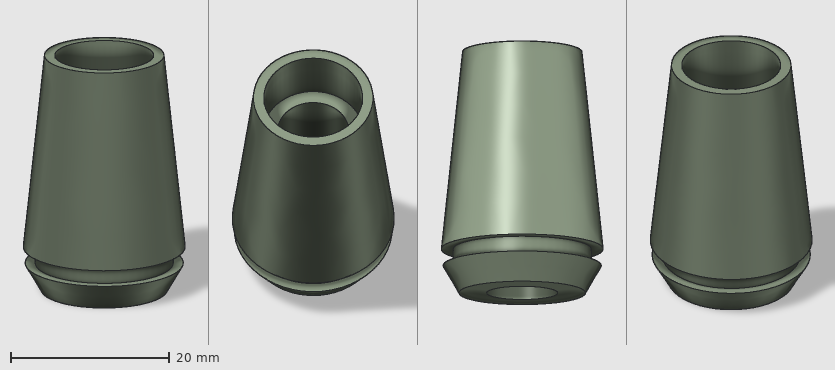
import cadquery as cq

height = 31.0
body_diameter = 20.5
top_diameter = 15.13

groove_diameter = 17.48
groove_width = 2.15
nose_height = 3.5
nose_diameter = 20.03
bottom_diameter = 16.0

bore_diameter = 9.0
counterbore_diameter = 12.5
counterbore_depth = 7.0

groove_top = nose_height + groove_width


def make_body():
    """Revolve the outer half profile about Z."""
    return (
        cq.Workplane("XZ")
        .moveTo(0, 0)
        .lineTo(bottom_diameter / 2, 0)
        .lineTo(nose_diameter / 2, nose_height)
        .lineTo(groove_diameter / 2, nose_height)
        .lineTo(groove_diameter / 2, groove_top)
        .lineTo(body_diameter / 2, groove_top)
        .lineTo(top_diameter / 2, height)
        .lineTo(0, height)
        .close()
        .revolve(360, (0, 0, 0), (0, 1, 0))
    )


def cut_stepped_bore(body):
    """Cut the through bore and its wider upper end."""
    return (
        body.faces(">Z")
        .workplane()
        .cboreHole(bore_diameter, counterbore_diameter, counterbore_depth)
    )


result = cut_stepped_bore(make_body())